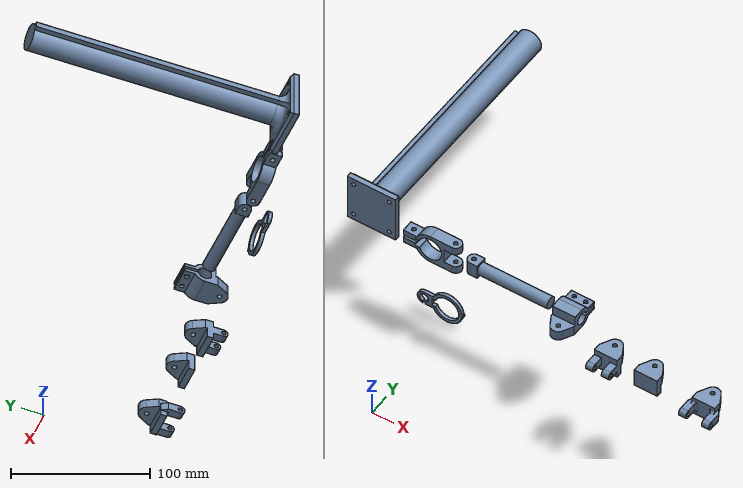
import cadquery as cq
import math

BOLT_DIAMETER = 3.4
BOLT_RADIUS = BOLT_DIAMETER / 2

PLATE_SIDE = 42.0
PLATE_THICKNESS = 6.2
PLATE_CHAMFER = 2.0
PLATE_HOLE_SPACING = 31.0
POST_BACK_Y = 200.8
POST_RADIUS = 10.0
POST_AXIS_X = 1.0
KEY_WIDTH = 4.8
KEY_OUTER_X = -12.5
POST_FILLET = 6.0

ARM_DEPTH = 10.0
ARM_AXIS_Y = -4.8

CLAMP_CENTER_X = 57.5
CLAMP_INNER_RADIUS = 10.0
CLAMP_OUTER_RADIUS = 13.0
TAB_LEFT_X = 34.3
TAB_RIGHT_X = 44.3
TAB_HOLE_X = 40.0
TAB_GAP = 2.5
NECK_GAP = 7.2
JAW_HEIGHT = 12.5
CLAMP_PIVOT_X = 76.5
SLOT_LEFT_X = 69.7

ROD_PIVOT_X = 92.5
ROD_HEAD_LENGTH = 6.2
ROD_RADIUS = ARM_DEPTH / 2
ROD_RIGHT_X = 159.0

LUG_HALF_WIDTH = 10.0
LUG_NOSE_RADIUS = 6.2
LUG_SHOULDER = 5.5
LUG_STEP = 7.0
LUG_HEIGHT = 8.5
LOW_LUG_HEIGHT = 8.0

SADDLE_X = 176.0
SADDLE_EYE_Y = -20.3
SADDLE_BACK_Y = 11.0
SADDLE_BORE_RADIUS = 5.0
SADDLE_EAR_HALF_HEIGHT = 3.8
SADDLE_SLIT = 2.5
SADDLE_HOLE_SPACING = 10.0
SADDLE_HOLE_Y = 7.2

WEDGE_X = 259.8
LUG_EYE_Y = -20.3
LUG_BASE_Y = -32.0

PRONG_THICKNESS = 6.2
PRONG_RADIUS = 3.5
NARROW_FORK_X = 225.0
NARROW_FORK_PIN_Y = -39.8
WIDE_FORK_X = 309.3
WIDE_FORK_EYE_Y = -19.2
WIDE_FORK_BASE_Y = -31.0
WIDE_FORK_PIN_Y = -40.0
WIDE_PRONG_OUTER = 13.0
PRONG_ROOT_FILLET = 1.7
GUSSET_LENGTH = 5.0

CLIP_X = 69.7
CLIP_Z = -58.7
CLIP_OUTER_RADIUS = 13.0
CLIP_INNER_RADIUS = 10.3
CLIP_DEPTH = 2.7
HOOK_X = 49.8
HOOK_OUTER_RADIUS = 6.0
HOOK_INNER_RADIUS = 3.8
HOOK_MOUTH = 2.0
CLIP_VOID_LEFT_X = 56.5
CLIP_VOID_HEIGHT = 6.2
NIB_RIGHT_X = 83.7
NIB_HEIGHT = 1.5


def box_between(x_range, y_range, z_range):
    """Box spanning the given (low, high) range on each axis."""
    sizes = [high - low for low, high in (x_range, y_range, z_range)]
    corner = (x_range[0], y_range[0], z_range[0])
    return cq.Workplane("XY").box(*sizes, centered=False).translate(corner)


def mid_range(center, length):
    """(low, high) range of a given length about a centre."""
    return center - length / 2, center + length / 2


def cylinder_x(radius, x_range, y, z=0):
    length = x_range[1] - x_range[0]
    return cq.Workplane("YZ", origin=(x_range[0], y, z)).circle(radius).extrude(length)


def cylinder_y(radius, x, y_range, z=0):
    length = y_range[1] - y_range[0]
    return cq.Workplane("XZ", origin=(x, y_range[1], z)).circle(radius).extrude(length)


def cylinder_z(radius, x, y, z_range):
    length = z_range[1] - z_range[0]
    return cq.Workplane("XY", origin=(x, y, z_range[0])).circle(radius).extrude(length)


def make_post():
    plate = box_between(mid_range(0, PLATE_SIDE), (0, PLATE_THICKNESS), mid_range(0, PLATE_SIDE))
    plate = plate.faces(">Y").chamfer(PLATE_CHAMFER)
    column_y = (PLATE_THICKNESS, POST_BACK_Y)
    column = cylinder_y(POST_RADIUS, POST_AXIS_X, column_y)
    key = box_between((KEY_OUTER_X, POST_AXIS_X), column_y, mid_range(0, KEY_WIDTH))
    post = plate.union(column.union(key))

    reach = POST_RADIUS + 3.5
    root = cq.selectors.BoxSelector(
        (-reach - 3.5, PLATE_THICKNESS - 0.5, -reach),
        (reach + 3.5, PLATE_THICKNESS + 0.5, reach),
    )
    post = post.edges(root).fillet(POST_FILLET)

    for x in mid_range(0, PLATE_HOLE_SPACING):
        for z in mid_range(0, PLATE_HOLE_SPACING):
            post = post.cut(cylinder_y(BOLT_RADIUS, x, (0, PLATE_THICKNESS), z))
    return post


def make_clamp():
    depth = mid_range(ARM_AXIS_Y, ARM_DEPTH)
    full_height = mid_range(0, 2 * CLAMP_OUTER_RADIUS)
    jaw = mid_range(0, JAW_HEIGHT)
    clamp = cylinder_y(CLAMP_OUTER_RADIUS, CLAMP_CENTER_X, depth)

    arms = box_between((CLAMP_CENTER_X, CLAMP_PIVOT_X), depth, full_height)
    arms = arms.union(cylinder_z(ARM_DEPTH / 2, CLAMP_PIVOT_X, ARM_AXIS_Y, full_height))
    clamp = clamp.union(arms)
    clamp = clamp.cut(box_between((SLOT_LEFT_X, CLAMP_PIVOT_X + ARM_DEPTH), depth, jaw))

    clamp = clamp.union(box_between((TAB_LEFT_X, CLAMP_CENTER_X), depth, jaw))
    clamp = clamp.cut(cylinder_y(CLAMP_INNER_RADIUS, CLAMP_CENTER_X, depth))
    clamp = clamp.cut(box_between((TAB_LEFT_X, CLAMP_CENTER_X), depth, mid_range(0, TAB_GAP)))
    clamp = clamp.cut(box_between((TAB_RIGHT_X, CLAMP_CENTER_X), depth, mid_range(0, NECK_GAP)))

    for x in (TAB_HOLE_X, CLAMP_PIVOT_X):
        clamp = clamp.cut(cylinder_z(BOLT_RADIUS, x, ARM_AXIS_Y, full_height))
    return clamp


def make_rod():
    height = mid_range(0, JAW_HEIGHT)
    shoulder_x = ROD_PIVOT_X + ROD_HEAD_LENGTH
    head = box_between((ROD_PIVOT_X, shoulder_x), mid_range(ARM_AXIS_Y, ARM_DEPTH), height)
    head = head.union(cylinder_z(ARM_DEPTH / 2, ROD_PIVOT_X, ARM_AXIS_Y, height))
    rod = head.union(cylinder_x(ROD_RADIUS, (shoulder_x, ROD_RIGHT_X), ARM_AXIS_Y))
    return rod.cut(cylinder_z(BOLT_RADIUS, ROD_PIVOT_X, ARM_AXIS_Y, height))


def make_lug(x, eye_y, base_y, z_range):
    """Plate with a straight base that tapers to a round nose about an eye hole."""
    toward_nose = math.copysign(1, eye_y - base_y)
    shoulder_y = eye_y - toward_nose * LUG_SHOULDER

    shoulder_distance = math.hypot(LUG_HALF_WIDTH, LUG_SHOULDER)
    touch_angle = math.acos(LUG_NOSE_RADIUS / shoulder_distance) - math.atan2(LUG_SHOULDER, LUG_HALF_WIDTH)
    touch_x = LUG_NOSE_RADIUS * math.cos(touch_angle)
    touch_y = eye_y + toward_nose * LUG_NOSE_RADIUS * math.sin(touch_angle)
    nose_y = eye_y + toward_nose * LUG_NOSE_RADIUS

    lug = (
        cq.Workplane("XY", origin=(x, 0, z_range[0]))
        .moveTo(-LUG_HALF_WIDTH, base_y)
        .lineTo(-LUG_HALF_WIDTH, shoulder_y)
        .lineTo(-touch_x, touch_y)
        .threePointArc((0, nose_y), (touch_x, touch_y))
        .lineTo(LUG_HALF_WIDTH, shoulder_y)
        .lineTo(LUG_HALF_WIDTH, base_y)
        .close()
        .extrude(z_range[1] - z_range[0])
    )
    return lug.cut(cylinder_z(BOLT_RADIUS, x, eye_y, z_range))


def make_saddle():
    width = (SADDLE_X - LUG_HALF_WIDTH, SADDLE_X + LUG_HALF_WIDTH)
    ear_height = mid_range(0, 2 * SADDLE_EAR_HALF_HEIGHT)

    saddle = make_lug(SADDLE_X, SADDLE_EYE_Y, ARM_AXIS_Y, (-LUG_HEIGHT, 0))
    saddle = saddle.union(box_between(width, (SADDLE_EYE_Y + LUG_STEP, ARM_AXIS_Y), (0, LUG_HEIGHT)))
    saddle = saddle.union(cylinder_x(LUG_HEIGHT, width, ARM_AXIS_Y))
    saddle = saddle.union(box_between(width, (ARM_AXIS_Y, SADDLE_BACK_Y), ear_height))

    saddle = saddle.cut(cylinder_x(SADDLE_BORE_RADIUS, width, ARM_AXIS_Y))
    saddle = saddle.cut(box_between(width, (ARM_AXIS_Y, SADDLE_BACK_Y), mid_range(0, SADDLE_SLIT)))
    for x in mid_range(SADDLE_X, SADDLE_HOLE_SPACING):
        saddle = saddle.cut(cylinder_z(BOLT_RADIUS, x, SADDLE_HOLE_Y, ear_height))
    return saddle


def make_upper_mount(x, eye_y, base_y, lug_height):
    """Lug above Z = 0 with the block below it that stops short of the eye."""
    lug = make_lug(x, eye_y, base_y, (0, lug_height))
    width = (x - LUG_HALF_WIDTH, x + LUG_HALF_WIDTH)
    return lug.union(box_between(width, (base_y, eye_y - LUG_STEP), (-lug_height, 0)))


def make_wedge():
    return make_upper_mount(WEDGE_X, LUG_EYE_Y, LUG_BASE_Y, LOW_LUG_HEIGHT)


def prong_ranges(x, outer):
    """X ranges of the two prongs of a fork whose outer faces are `outer` from its centre."""
    inner = outer - PRONG_THICKNESS
    return (x - outer, x - inner), (x + inner, x + outer)


def make_prong(x_range, base_y, pin_y):
    prong = box_between(x_range, (pin_y, base_y), (-PRONG_RADIUS, PRONG_RADIUS))
    return prong.union(cylinder_x(PRONG_RADIUS, x_range, pin_y))


def make_narrow_fork():
    fork = make_upper_mount(NARROW_FORK_X, LUG_EYE_Y, LUG_BASE_Y, LUG_HEIGHT)
    for x_range in prong_ranges(NARROW_FORK_X, LUG_HALF_WIDTH):
        fork = fork.union(make_prong(x_range, LUG_BASE_Y, NARROW_FORK_PIN_Y))
        fork = fork.cut(cylinder_x(BOLT_RADIUS, x_range, NARROW_FORK_PIN_Y))
    return fork


def make_gusset(side):
    """Triangular bracket between the block side and the overhanging part of a prong."""
    side_x = WIDE_FORK_X + side * LUG_HALF_WIDTH
    outer_x = WIDE_FORK_X + side * WIDE_PRONG_OUTER
    corners = [
        (side_x, WIDE_FORK_BASE_Y),
        (outer_x, WIDE_FORK_BASE_Y),
        (side_x, WIDE_FORK_BASE_Y + GUSSET_LENGTH),
    ]
    outline = cq.Workplane("XY", origin=(0, 0, -PRONG_RADIUS)).polyline(corners).close()
    return outline.extrude(2 * PRONG_RADIUS)


def make_wide_fork():
    fork = make_upper_mount(WIDE_FORK_X, WIDE_FORK_EYE_Y, WIDE_FORK_BASE_Y, LOW_LUG_HEIGHT)
    for x_range in prong_ranges(WIDE_FORK_X, WIDE_PRONG_OUTER):
        fork = fork.union(make_prong(x_range, WIDE_FORK_BASE_Y, WIDE_FORK_PIN_Y))

    root = cq.selectors.BoxSelector(
        (WIDE_FORK_X - LUG_HALF_WIDTH + 0.5, WIDE_FORK_BASE_Y - 0.5, -PRONG_RADIUS - 0.5),
        (WIDE_FORK_X + LUG_HALF_WIDTH - 0.5, WIDE_FORK_BASE_Y + 0.5, PRONG_RADIUS + 0.5),
    )
    fork = fork.edges(root).fillet(PRONG_ROOT_FILLET)

    for side in (-1, 1):
        fork = fork.union(make_gusset(side))
    for x_range in prong_ranges(WIDE_FORK_X, WIDE_PRONG_OUTER):
        fork = fork.cut(cylinder_x(BOLT_RADIUS, x_range, WIDE_FORK_PIN_Y))
    return fork


def make_clip():
    depth = mid_range(ARM_AXIS_Y, CLIP_DEPTH)
    clip = cylinder_y(CLIP_OUTER_RADIUS, CLIP_X, depth, CLIP_Z)
    clip = clip.union(cylinder_y(HOOK_OUTER_RADIUS, HOOK_X, depth, CLIP_Z))
    clip = clip.union(box_between((HOOK_X, CLIP_X), depth, mid_range(CLIP_Z, 2 * HOOK_OUTER_RADIUS)))
    clip = clip.union(box_between((CLIP_X, NIB_RIGHT_X), depth, mid_range(CLIP_Z, NIB_HEIGHT)))

    clip = clip.cut(cylinder_y(CLIP_INNER_RADIUS, CLIP_X, depth, CLIP_Z))
    clip = clip.cut(box_between((CLIP_VOID_LEFT_X, CLIP_X), depth, mid_range(CLIP_Z, CLIP_VOID_HEIGHT)))
    clip = clip.cut(cylinder_y(HOOK_INNER_RADIUS, HOOK_X, depth, CLIP_Z))
    mouth_z = (CLIP_Z - HOOK_OUTER_RADIUS, CLIP_Z)
    return clip.cut(box_between(mid_range(HOOK_X, HOOK_MOUTH), depth, mouth_z))


post = make_post()
clamp = make_clamp()
rod = make_rod()
saddle = make_saddle()
narrow_fork = make_narrow_fork()
wedge = make_wedge()
wide_fork = make_wide_fork()
clip = make_clip()

bodies = [post, clamp, rod, saddle, narrow_fork, wedge, wide_fork, clip]
result = cq.Compound.makeCompound([body.val() for body in bodies])